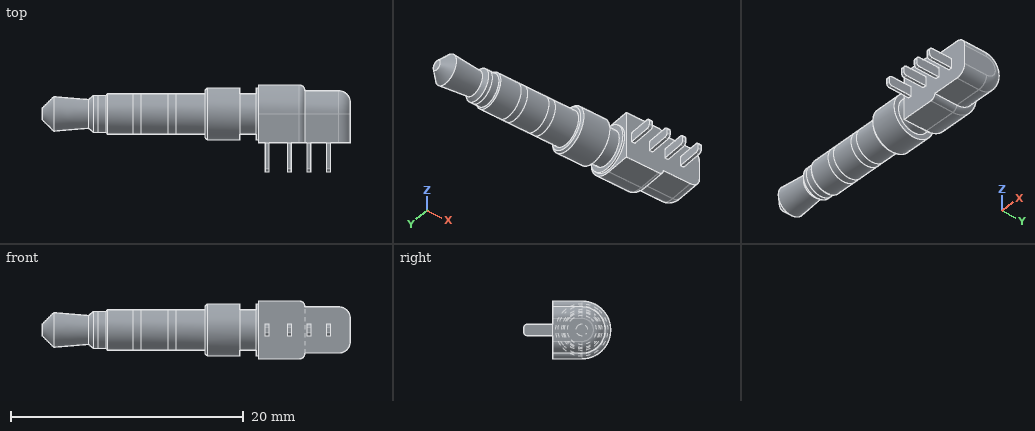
import cadquery as cq


tip_nose_radius = 0.5
tip_nose_length = 1.0
tip_radius = 1.5
tip_waist_radius = 1.25
tip_waist_x = 4.0
tip_shoulder_radius = 1.6
tip_shoulder_x = 4.4
tip_end_x = 4.8

plug_radius = 1.75
insulator_length = 0.7
ring_length = 2.3
contact_pitch = insulator_length + ring_length
insulator_count = 3
ring_count = insulator_count - 1
ring_lead_in_length = 0.1

sleeve_start_x = tip_end_x + ring_count * contact_pitch + insulator_length
collar_radius = 2.25
collar_start_x = 14.0
collar_length = 3.0
collar_chamfer = 0.2
flange_length = 0.2

housing_start_x = 18.6
housing_end_x = 26.5
housing_front_length = 4.0
housing_front_radius = 2.5
housing_rear_radius = 2.0
board_face_y = -housing_front_radius
step_fillet = housing_front_radius - housing_rear_radius
end_fillet = 1.0

pin_thickness = 0.35
pin_width = 1.0
pin_length = 2.5
pin_corner_radius = 0.3
first_pin_x = 19.34
second_pin_x = 21.26
pin_pitch = 1.68
pin_positions = [first_pin_x] + [second_pin_x + i * pin_pitch for i in range(3)]


def turned(profile):
    """Solid of revolution about X from (x, radius) points, closed along the axis."""
    start_x = profile[0][0]
    end_x = profile[-1][0]
    outline = [(start_x, 0), *profile, (end_x, 0)]
    return cq.Workplane("XZ").polyline(outline).close().revolve(360, (0, 0, 0), (1, 0, 0))


def make_tip():
    return turned([
        (0, tip_nose_radius),
        (tip_nose_length, tip_radius),
        (tip_waist_x, tip_waist_radius),
        (tip_shoulder_x, tip_shoulder_radius),
        (tip_end_x, tip_shoulder_radius),
    ])


def make_insulator(start_x, radius):
    return turned([(start_x, radius), (start_x + insulator_length, radius)])


def make_ring(start_x, front_radius):
    """Ring contact whose front edge widens from front_radius to the plug radius."""
    return turned([
        (start_x, front_radius),
        (start_x + ring_lead_in_length, plug_radius),
        (start_x + ring_length, plug_radius),
    ])


def make_sleeve():
    collar_end_x = collar_start_x + collar_length
    flange_start_x = housing_start_x - flange_length
    return turned([
        (sleeve_start_x, plug_radius),
        (collar_start_x, plug_radius),
        (collar_start_x, collar_radius - collar_chamfer),
        (collar_start_x + collar_chamfer, collar_radius),
        (collar_end_x, collar_radius),
        (collar_end_x, plug_radius),
        (flange_start_x, plug_radius),
        (flange_start_x, collar_radius),
        (housing_start_x, collar_radius),
    ])


def make_housing_block(radius, end_x, rear_fillet):
    """D-section block from the housing front to end_x, rounded at the rear except on the board face."""
    return (
        cq.Workplane("YZ", origin=(housing_start_x, 0, 0))
        .moveTo(board_face_y, -radius)
        .lineTo(0, -radius)
        .threePointArc((radius, 0), (0, radius))
        .lineTo(board_face_y, radius)
        .close()
        .extrude(end_x - housing_start_x)
        .faces(">X").edges("not(<Y)").fillet(rear_fillet)
    )


def make_housing():
    front_end_x = housing_start_x + housing_front_length
    front = make_housing_block(housing_front_radius, front_end_x, step_fillet)
    rear = make_housing_block(housing_rear_radius, housing_end_x, end_fillet)
    return front.union(rear)


def make_pin(x):
    return (
        cq.Workplane("XY")
        .box(pin_thickness, pin_length, pin_width)
        .edges("<Y and |X").fillet(pin_corner_radius)
        .translate((x, board_face_y - pin_length / 2, 0))
    )


def make_sleeve_and_housing():
    """Sleeve, housing and pins as one solid."""
    body = make_sleeve().union(make_housing())
    for x in pin_positions:
        body = body.union(make_pin(x))
    return body


tip = make_tip()

insulators = []
for i in range(insulator_count):
    insulator_radius = tip_shoulder_radius if i == 0 else plug_radius
    insulators.append(make_insulator(tip_end_x + i * contact_pitch, insulator_radius))

rings = []
for i in range(ring_count):
    ring_front_radius = tip_shoulder_radius if i == 0 else plug_radius
    ring_start_x = tip_end_x + insulator_length + i * contact_pitch
    rings.append(make_ring(ring_start_x, ring_front_radius))

sleeve_and_housing = make_sleeve_and_housing()

result = cq.Compound.makeCompound([
    tip.val(),
    *[insulator.val() for insulator in insulators],
    *[ring.val() for ring in rings],
    sleeve_and_housing.val(),
])